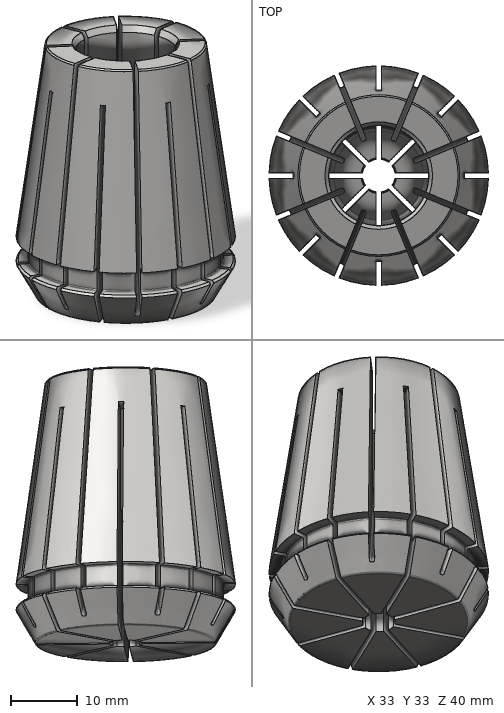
import cadquery as cq
import math

height = 40.0
max_radius = 16.5

nose_angle = 30.0
bottom_radius = 13.5
rim_bevel = 0.3
bottom_fillet = 0.3

groove_radius = 14.7
groove_bottom = 5.5
groove_top = 9.1
groove_fillet = 0.2

taper_angle = 8.0
top_bevel = 0.25

relief_radius = 7.5
relief_floor = 19.4
relief_floor_fillet = 0.8
mouth_radius = 8.1
mouth_depth = 1.0
grip_radius = 2.5
grip_bevel = 0.2

slots_per_end = 8
slot_width = 0.8
slot_overrun = 0.4
bottom_slot_top = 34.5

ramp_angle = 64.0
ramp_end_height = 1.5
ramp_fillet = 0.3

slot_pitch = 360.0 / slots_per_end
slot_reach = max_radius + slot_overrun
nose_slope = math.tan(math.radians(nose_angle))
nose_rim_height = (max_radius - bottom_radius) / nose_slope
ramp_end_radius = bottom_radius + ramp_end_height * nose_slope
top_radius = max_radius - (height - groove_top) * math.tan(math.radians(taper_angle))


def circles_of_radius(body, radius):
    """Select the circular edges that have the given radius."""
    tolerance = 0.005
    circles = body.edges("%CIRCLE")
    return circles.filter(lambda edge: abs(edge.radius() - radius) < tolerance)


def make_body():
    """Revolve the outer profile together with the stepped bore."""
    fillet_centre_r = relief_radius - relief_floor_fillet
    fillet_centre_z = relief_floor + relief_floor_fillet
    diagonal = relief_floor_fillet * math.sqrt(0.5)
    profile = (
        cq.Workplane("XZ")
        .moveTo(grip_radius, 0)
        .lineTo(bottom_radius, 0)
        .lineTo(max_radius, nose_rim_height)
        .lineTo(max_radius - rim_bevel, groove_bottom)
        .lineTo(groove_radius, groove_bottom)
        .lineTo(groove_radius, groove_top)
        .lineTo(max_radius, groove_top)
        .lineTo(top_radius, height - top_bevel)
        .lineTo(top_radius - top_bevel, height)
        .lineTo(mouth_radius, height)
        .lineTo(relief_radius, height - mouth_depth)
        .lineTo(relief_radius, fillet_centre_z)
        .threePointArc(
            (fillet_centre_r + diagonal, fillet_centre_z - diagonal),
            (fillet_centre_r, relief_floor),
        )
        .lineTo(grip_radius + grip_bevel, relief_floor)
        .lineTo(grip_radius, relief_floor - grip_bevel)
        .close()
    )
    body = profile.revolve(360, (0, 0, 0), (0, 1, 0))
    body = circles_of_radius(body, groove_radius).fillet(groove_fillet)
    return circles_of_radius(body, bottom_radius).fillet(bottom_fillet)


def bottom_slot(angle):
    """Slot open at the bottom, running from the axis out through the wall."""
    blade = cq.Workplane("XY").box(
        slot_reach, slot_width, bottom_slot_top, centered=(False, True, False)
    )
    return blade.rotate((0, 0, 0), (0, 0, 1), angle)


def top_slot(angle):
    """Slot open at the top, with a ramped floor that rises inward and has rounded corners."""
    slope = math.tan(math.radians(ramp_angle))
    ramp_height_at_axis = ramp_end_height + ramp_end_radius * slope
    ramp_height_at_reach = ramp_height_at_axis - slot_reach * slope
    blade = (
        cq.Workplane("XZ")
        .moveTo(slot_reach, ramp_height_at_reach)
        .lineTo(slot_reach, height)
        .lineTo(0, height)
        .lineTo(0, ramp_height_at_axis)
        .close()
        .extrude(slot_width / 2, both=True)
    )
    ramp_sides = cq.selectors.ParallelDirSelector(cq.Vector(1, 0, -slope))
    blade = blade.edges(ramp_sides).fillet(ramp_fillet)
    return blade.rotate((0, 0, 0), (0, 0, 1), angle)


result = make_body()
for index in range(slots_per_end):
    slot_angle = index * slot_pitch
    result = result.cut(bottom_slot(slot_angle))
    result = result.cut(top_slot(slot_angle + slot_pitch / 2))